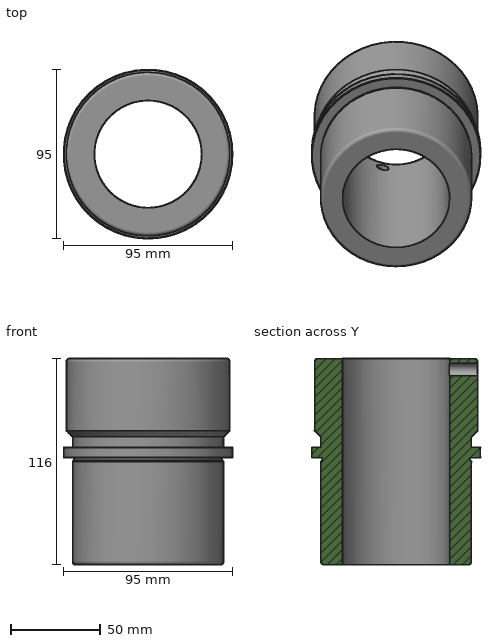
import cadquery as cq

length = 116.0
bore_radius = 30.0
head_radius = 45.9
shank_radius = 42.5
flange_diameter = 95.0
flange_radius = flange_diameter / 2

head_bottom = 75.4
flange_top = 66.1
flange_thickness = 6.0
flange_bottom = flange_top - flange_thickness

end_fillet = 2.0
flange_chamfer = 0.3
relief_depth = 0.7
relief_width = 1.4

hole_diameter = 6.7
hole_drop = 6.4


def cylinder(radius, bottom, top):
    """Solid cylinder about Z between two heights."""
    return cq.Workplane("XY").workplane(offset=bottom).circle(radius).extrude(top - bottom)


def make_head():
    """Upper body with a rounded top rim and a 45 degree bevel down to the shank."""
    bevel = head_radius - shank_radius
    head = cylinder(head_radius, head_bottom - bevel, length)
    return head.faces("<Z").chamfer(bevel).faces(">Z").edges().fillet(end_fillet)


def make_flange():
    """Thin collar with both rims broken."""
    return cylinder(flange_radius, flange_bottom, flange_top).edges().chamfer(flange_chamfer)


def make_shank():
    """Lower body, bevelled at the relief groove and rounded at the bottom."""
    shank = cylinder(shank_radius, 0, flange_bottom - relief_width)
    return shank.faces(">Z").chamfer(relief_depth).faces("<Z").edges().fillet(end_fillet)


def make_neck():
    """Plain necks joining the flange to the head above and the shank below."""
    upper = cylinder(shank_radius, flange_bottom, head_bottom)
    relief = cylinder(shank_radius - relief_depth, flange_bottom - 2 * relief_width, flange_bottom)
    return upper.union(relief)


def make_radial_hole():
    """Cutter running from the axis outward along +X."""
    plane = cq.Workplane("YZ").center(0, length - hole_drop)
    return plane.circle(hole_diameter / 2).extrude(flange_radius)


body = make_shank().union(make_neck()).union(make_flange()).union(make_head())
bore = cylinder(bore_radius, 0, length)
result = body.cut(bore).cut(make_radial_hole())